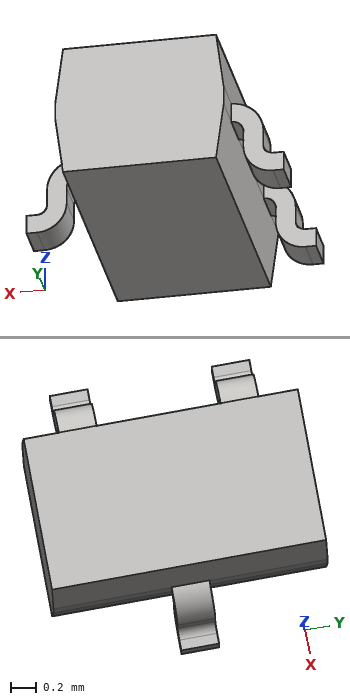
import cadquery as cq

BODY_LENGTH = 2.2
BODY_HEIGHT = 1.1
WAIST_WIDTH = 1.355
END_WIDTH = 1.232

LEAD_SPAN = 2.2
LEAD_THICKNESS = 0.158
LEAD_WIDTH = 0.304
LEAD_PITCH = 1.298
FOOT_LENGTH = 0.085
SHIN_OFFSET = 0.935
FOOT_BEND_INNER = LEAD_SPAN / 2 - FOOT_LENGTH - SHIN_OFFSET
FOOT_BEND_OUTER = FOOT_BEND_INNER + LEAD_THICKNESS
SHOULDER_OUTER = SHIN_OFFSET - WAIST_WIDTH / 2
SHOULDER_INNER = SHOULDER_OUTER - LEAD_THICKNESS

WAIST_BOTTOM = (BODY_HEIGHT - LEAD_THICKNESS) / 2
WAIST_TOP = WAIST_BOTTOM + LEAD_THICKNESS


def make_body():
    """Section with drafted sides and an upright waist, extruded along Y."""
    half_waist = WAIST_WIDTH / 2
    half_end = END_WIDTH / 2
    outline = [
        (-half_end, 0),
        (half_end, 0),
        (half_waist, WAIST_BOTTOM),
        (half_waist, WAIST_TOP),
        (half_end, BODY_HEIGHT),
        (-half_end, BODY_HEIGHT),
        (-half_waist, WAIST_TOP),
        (-half_waist, WAIST_BOTTOM),
    ]
    return cq.Workplane("XZ").polyline(outline).close().extrude(BODY_LENGTH / 2, both=True)


def make_lead(side, y_center):
    """S-bent lead on the +X (side = 1) or -X (side = -1) face of the body."""
    waist_x = WAIST_WIDTH / 2
    toe_x = LEAD_SPAN / 2
    heel_x = toe_x - FOOT_LENGTH
    shin_inner_x = SHIN_OFFSET - LEAD_THICKNESS
    lead = (
        cq.Workplane("XZ")
        .moveTo(waist_x, WAIST_TOP)
        .radiusArc((SHIN_OFFSET, WAIST_TOP - SHOULDER_OUTER), SHOULDER_OUTER)
        .lineTo(SHIN_OFFSET, FOOT_BEND_OUTER)
        .radiusArc((heel_x, LEAD_THICKNESS), -FOOT_BEND_INNER)
        .lineTo(toe_x, LEAD_THICKNESS)
        .lineTo(toe_x, 0)
        .lineTo(heel_x, 0)
        .radiusArc((shin_inner_x, FOOT_BEND_OUTER), FOOT_BEND_OUTER)
        .lineTo(shin_inner_x, WAIST_BOTTOM - SHOULDER_INNER)
        .radiusArc((waist_x, WAIST_BOTTOM), -SHOULDER_INNER)
        .close()
        .extrude(LEAD_WIDTH / 2, both=True)
    )
    if side < 0:
        lead = lead.mirror("YZ")
    return lead.translate((0, y_center, 0))


LEAD_PLACES = [(-1, -LEAD_PITCH / 2), (-1, LEAD_PITCH / 2), (1, 0)]

body = make_body()
leads = [make_lead(side, y_center).val() for side, y_center in LEAD_PLACES]

result = cq.Compound.makeCompound([body.val(), *leads])